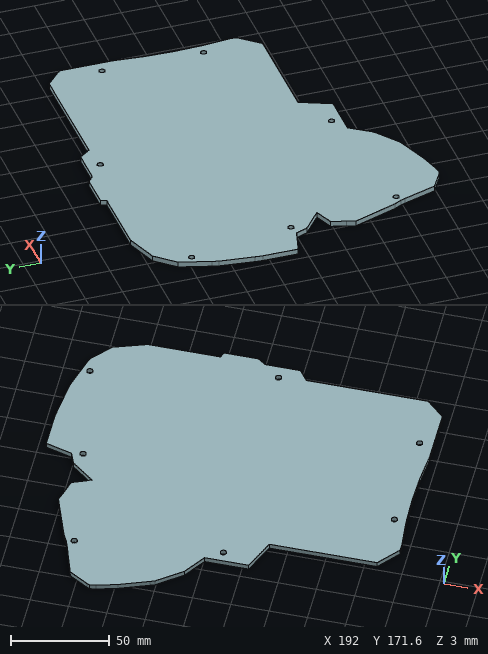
import cadquery as cq

length = 192.0
width = 171.6
thickness = 3.0
hole_diameter = 3.0

tab_base_y = 168.5
right_top_y = 162.6
right_bottom_y = 48.0
step_y = 31.5

hollow_depth = 2.0
hollow_center_y = 93.9
hollow_half_length = 31.1

top_outline = [
    (0, 90.2),
    (0, 109.2),
    (0.4, 113.5),
    (2.5, 131.9),
    (3.5, 135.5),
    (8.3, 152.0),
    (17.7, right_top_y),
    (35.0, tab_base_y),
    (72.8, tab_base_y),
    (74.0, width),
    (92.2, width),
    (96.0, tab_base_y),
    (114.6, tab_base_y),
    (119.0, right_top_y),
    (182.5, right_top_y),
    (length, 154.0),
    (length, hollow_center_y + hollow_half_length),
]

lower_right_outline = [
    (length, 59.1),
    (182.5, right_bottom_y),
    (126.3, right_bottom_y),
    (119.5, step_y),
    (96.4, step_y),
]

lobe_outline = [
    (88.5, 20.0),
    (75.5, 10.2),
    (73.0, 9.2),
    (57.6, 3.5),
    (47.0, 0.5),
    (43.5, 0),
    (42.2, 0.5),
    (32.0, 6.5),
    (26.3, 24.2),
    (25.3, 26.7),
    (23.2, 30.7),
    (14.8, 54.3),
    (16.3, 59.1),
    (18.5, 66.8),
]

notch_outline = [
    (28.5, 70.8),
    (16.7, 80.0),
    (14.2, 86.4),
]

hole_centers = [
    (10.4, 144.0),
    (20.0, 87.5),
    (29.2, 28.0),
    (104.8, 37.2),
    (104.8, 161.3),
    (184.3, 79.1),
    (184.9, 133.5),
]


def make_plate():
    """Flat plate with the full outline."""
    hollow_middle = (length - hollow_depth, hollow_center_y)
    hollow_end = (length, hollow_center_y - hollow_half_length)
    outline = cq.Workplane("XY").polyline(top_outline)
    outline = outline.threePointArc(hollow_middle, hollow_end)
    for point in lower_right_outline + lobe_outline + notch_outline:
        outline = outline.lineTo(*point)
    return outline.close().extrude(thickness)


def make_holes():
    """Screw holes through the whole thickness."""
    return cq.Workplane("XY").pushPoints(hole_centers).circle(hole_diameter / 2).extrude(thickness)


result = make_plate().cut(make_holes())